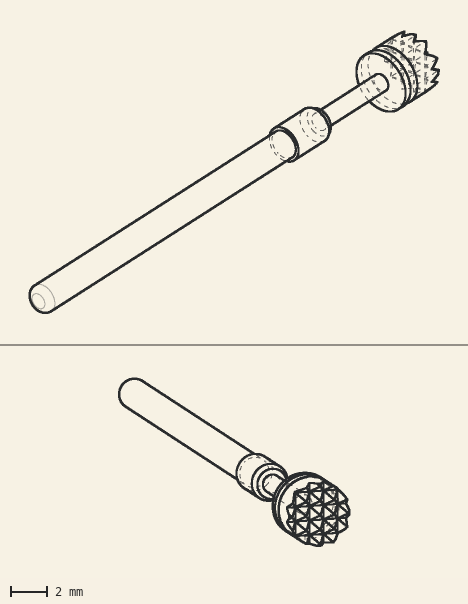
import cadquery as cq
import math

total_length = 32.3

barrel_radius = 0.85
tail_rounding = 0.4

collar_radius = 1.03
collar_length = 3.0
collar_taper_length = 0.4
collar_taper_depth = 0.2
collar_top = 24.0

rod_radius = 0.52

head_radius = 1.75
head_length = 3.0
groove_width = 0.58
groove_depth = 0.1
groove_center_from_base = 0.7

tooth_pitch = 0.8
tooth_angle = 60.0
teeth_across = 5
tooth_depth = tooth_pitch / 2 / math.tan(math.radians(tooth_angle / 2))

collar_bottom = collar_top - collar_length
head_base = total_length - head_length
groove_center = head_base + groove_center_from_base


def make_turned_body():
    """Revolve the half profile (radius along X, length along Y) about the Y axis."""
    profile = (
        cq.Workplane("XY")
        .moveTo(0, 0)
        .lineTo(barrel_radius - tail_rounding, 0)
        .radiusArc((barrel_radius, tail_rounding), -tail_rounding)
        .lineTo(barrel_radius, collar_bottom)
        .lineTo(collar_radius, collar_bottom)
        .lineTo(collar_radius, collar_top - collar_taper_length)
        .lineTo(collar_radius - collar_taper_depth, collar_top)
        .lineTo(rod_radius, collar_top)
        .lineTo(rod_radius, head_base)
        .lineTo(head_radius, head_base)
        .lineTo(head_radius, groove_center - groove_width / 2)
        .threePointArc(
            (head_radius - groove_depth, groove_center),
            (head_radius, groove_center + groove_width / 2),
        )
        .lineTo(head_radius, total_length)
        .lineTo(0, total_length)
        .close()
    )
    return profile.revolve(360, (0, 0), (0, 1))


def make_crown_cuts():
    """V cuts running along Z, one in each gap between teeth and one beyond each outer row."""
    cuts = cq.Workplane("XY")
    for gap in range(teeth_across + 1):
        x = (gap - teeth_across / 2) * tooth_pitch
        cut = (
            cq.Workplane("XY")
            .moveTo(x - tooth_pitch / 2, total_length)
            .lineTo(x, total_length - tooth_depth)
            .lineTo(x + tooth_pitch / 2, total_length)
            .close()
            .extrude(2 * head_radius, both=True)
        )
        cuts = cuts.add(cut)
    return cuts.combine()


crown_cuts = make_crown_cuts()
crossing_cuts = crown_cuts.rotate((0, 0, 0), (0, 1, 0), 90)
result = make_turned_body().cut(crown_cuts).cut(crossing_cuts)